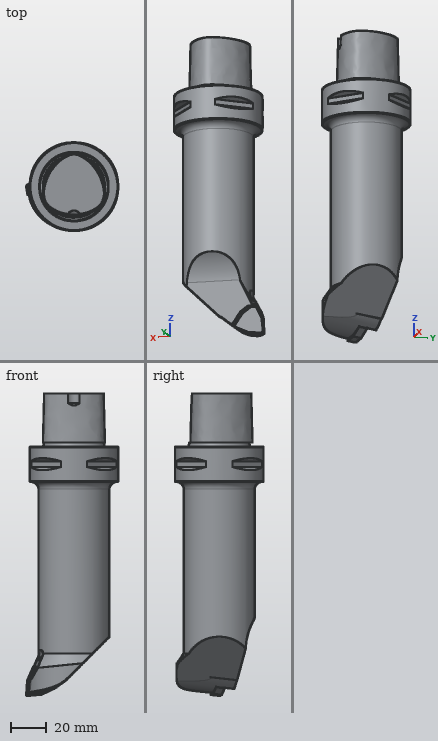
import cadquery as cq
import math

FLANGE_DIA = 50.0
FLANGE_BOTTOM = -19.9
FLANGE_CHAMFER = 0.5
SHANK_DIA = 40.0
SHANK_FILLET = 4.0

COUPLING_TOP = 30.0
COUPLING_BASE = 2.2
COUPLING_TOP_RADIUS = 16.8
COUPLING_BASE_RADIUS = 17.5
LOBE_HEIGHT = 1.22
NECK_TOP_DIA = 33.7
NECK_BOTTOM_DIA = 35.0
RELIEF_DIA = 39.1
RELIEF_DEPTH = 0.5
KEY_HOLE_DIA = 7.1
KEY_HOLE_Y = -17.0
KEY_HOLE_BOTTOM = 24.5
KEY_HOLE_CONE_HEIGHT = 2.2

SLOT_COUNT = 4
FIRST_SLOT_AZIMUTH = 45
SLOT_Z = -9.9
SLOT_DEPTH = 2.9
SLOT_FLOOR_HEIGHT = 3.0
SLOT_MOUTH_HEIGHT = 6.8

TIP_X = -26.9
TOTAL_HEIGHT = 170.0
TIP_Z = COUPLING_TOP - TOTAL_HEIGHT
HEAD_TOP = -116.1
HEAD_CONE_ANGLE = 34
HEAD_RADIUS = 24.1
HEAD_OFFSET_X = -1.7
SEAT_FACE_INSET = 0.8
SEAT_BLOCK_TOP = -108.8
SEAT_BLOCK_HEIGHT = 17.0
SEAT_BLOCK_WIDTH = 13.6
BACK_CUT_Z = -106.8

BOTTOM_START = (0.0, -1.4)
BOTTOM_MIDDLE = (13.6, -3.2)
BOTTOM_END = (23.0, -9.5)

RAKE_SLOPE_X = 0.16
RAKE_SLOPE_Z = 0.11
FLUTE_LIFT = 5.5
FLUTE_BEND_Z = -110.3
FLUTE_RADIUS = 27.2

INSERT_CIRCLE_DIA = 12.8
INSERT_CORNER_ANGLE = 80
INSERT_THICKNESS = 5.0
TIP_DIRECTION = 135
INSERT_NOSE_RADIUS = 0.8
INSERT_OVERHANG = 1.7

SCALLOP_DIA = 6.1
SCALLOP_CENTRE = (4.8, -22.6)
SCALLOP_END_LIFT = -3.4

FLANGE_RADIUS = FLANGE_DIA / 2
SHANK_RADIUS = SHANK_DIA / 2
DIAGONAL = math.sqrt(0.5)
CLEAR = 68.0


def lobed_point(radius, angle):
    """Point of a constant-width three-lobed curve with one lobe on +Y."""
    turn = angle + math.pi / 2
    support = radius + LOBE_HEIGHT * math.cos(3 * angle)
    slope = -3 * LOBE_HEIGHT * math.sin(3 * angle)
    return (
        support * math.cos(turn) - slope * math.sin(turn),
        support * math.sin(turn) + slope * math.cos(turn),
    )


def coupling():
    """Tapered lobed coupling with a drilled key hole in its -Y side."""
    point_count = 36
    angles = [2 * math.pi * i / point_count for i in range(point_count)]
    base = [lobed_point(COUPLING_BASE_RADIUS, a) for a in angles]
    top = [lobed_point(COUPLING_TOP_RADIUS, a) for a in angles]
    taper = (
        cq.Workplane("XY", origin=(0, 0, COUPLING_BASE))
        .spline(base, periodic=True)
        .close()
        .workplane(offset=COUPLING_TOP - COUPLING_BASE)
        .spline(top, periodic=True)
        .close()
        .loft(ruled=True)
    )
    hole_radius = KEY_HOLE_DIA / 2
    key_hole = (
        cq.Workplane("XZ", origin=(0, KEY_HOLE_Y, 0))
        .moveTo(0, COUPLING_TOP)
        .lineTo(hole_radius, COUPLING_TOP)
        .lineTo(hole_radius, KEY_HOLE_BOTTOM)
        .lineTo(0, KEY_HOLE_BOTTOM - KEY_HOLE_CONE_HEIGHT)
        .close()
        .revolve(360, (0, 0, 0), (0, 1, 0))
    )
    return taper.cut(key_hole)


def flange_and_shank():
    """Neck, flange and shank turned about Z, with the relief ring in the flange face."""
    relief_radius = RELIEF_DIA / 2
    fillet_radius = SHANK_RADIUS + SHANK_FILLET
    mid = SHANK_FILLET * (1 - DIAGONAL)
    return (
        cq.Workplane("XZ")
        .moveTo(0, COUPLING_BASE)
        .lineTo(NECK_TOP_DIA / 2, COUPLING_BASE)
        .lineTo(NECK_BOTTOM_DIA / 2, -RELIEF_DEPTH)
        .lineTo(relief_radius - RELIEF_DEPTH, -RELIEF_DEPTH)
        .lineTo(relief_radius, 0)
        .lineTo(FLANGE_RADIUS - FLANGE_CHAMFER, 0)
        .lineTo(FLANGE_RADIUS, -FLANGE_CHAMFER)
        .lineTo(FLANGE_RADIUS, FLANGE_BOTTOM + FLANGE_CHAMFER)
        .lineTo(FLANGE_RADIUS - FLANGE_CHAMFER, FLANGE_BOTTOM)
        .lineTo(fillet_radius, FLANGE_BOTTOM)
        .threePointArc(
            (SHANK_RADIUS + mid, FLANGE_BOTTOM - mid),
            (SHANK_RADIUS, FLANGE_BOTTOM - SHANK_FILLET),
        )
        .lineTo(SHANK_RADIUS, TIP_Z)
        .lineTo(0, TIP_Z)
        .close()
        .revolve(360, (0, 0, 0), (0, 1, 0))
    )


def gripper_slot(azimuth):
    """Trapezoidal slot whose floor is a chord of the flange."""
    flare = (SLOT_MOUTH_HEIGHT - SLOT_FLOOR_HEIGHT) / 2
    return (
        cq.Workplane("XZ", origin=(0, CLEAR, 0))
        .moveTo(FLANGE_RADIUS - SLOT_DEPTH, SLOT_Z - SLOT_FLOOR_HEIGHT / 2)
        .lineTo(FLANGE_RADIUS, SLOT_Z - SLOT_FLOOR_HEIGHT / 2 - flare)
        .lineTo(FLANGE_RADIUS, SLOT_Z + SLOT_FLOOR_HEIGHT / 2 + flare)
        .lineTo(FLANGE_RADIUS - SLOT_DEPTH, SLOT_Z + SLOT_FLOOR_HEIGHT / 2)
        .close()
        .extrude(2 * CLEAR)
        .rotate((0, 0, 0), (0, 0, 1), azimuth)
    )


RAKE_NORMAL = cq.Vector(-RAKE_SLOPE_X, 1, -RAKE_SLOPE_Z).normalized()
RAKE_X = cq.Vector(1, RAKE_SLOPE_X, 0).normalized()


def rake_plane(lift):
    """Plane parallel to the insert top; local Y points down the head."""
    origin = cq.Vector(TIP_X, 0, TIP_Z) + RAKE_NORMAL * lift
    return cq.Plane(origin=origin.toTuple(), xDir=RAKE_X.toTuple(), normal=RAKE_NORMAL.toTuple())


def trigon_corners():
    """Corners in the rake plane, sharp and blunt in turn, starting at the cutting tip."""
    inner_radius = INSERT_CIRCLE_DIA / 2
    half_corner = math.radians(INSERT_CORNER_ANGLE / 2)
    sharp = inner_radius / math.sin(half_corner)
    blunt = inner_radius / math.sin(2 * half_corner)
    nose_reach = (sharp - INSERT_NOSE_RADIUS / math.sin(half_corner)) * DIAGONAL
    centre = nose_reach + INSERT_NOSE_RADIUS
    corners = []
    for i in range(6):
        angle = math.radians(TIP_DIRECTION + 60 * i)
        radius = sharp if i % 2 == 0 else blunt
        corners.append((centre + radius * math.cos(angle), -centre + radius * math.sin(angle)))
    return corners


def head_blank():
    """Cone about the shank axis with a block behind the seat face, limited by the head cylinder."""
    widest = HEAD_RADIUS - HEAD_OFFSET_X
    cone_height = (widest - SHANK_RADIUS) / math.tan(math.radians(HEAD_CONE_ANGLE))
    cone = (
        cq.Workplane("XZ")
        .moveTo(0, HEAD_TOP)
        .lineTo(SHANK_RADIUS, HEAD_TOP)
        .lineTo(widest, HEAD_TOP - cone_height)
        .lineTo(widest, TIP_Z)
        .lineTo(0, TIP_Z)
        .close()
        .revolve(360, (0, 0, 0), (0, 1, 0))
    )
    block = cq.Workplane("XY", origin=(-FLANGE_DIA, 0, SEAT_BLOCK_TOP - SEAT_BLOCK_HEIGHT)).box(
        FLANGE_DIA, SEAT_BLOCK_WIDTH, SEAT_BLOCK_HEIGHT, centered=False
    )
    limit = (
        cq.Workplane("XY", origin=(HEAD_OFFSET_X, 0, TIP_Z))
        .circle(HEAD_RADIUS)
        .extrude(SEAT_BLOCK_TOP - TIP_Z)
    )
    return cone.union(block).intersect(limit)


def seat_face_cut():
    """Removes head material outside the two insert flanks on the -X side, extended upward."""
    tip, bend, upper = [(x + SEAT_FACE_INSET, y) for x, y in trigon_corners()[:3]]
    reach = CLEAR / math.dist(bend, upper)
    upper_end = tuple(b + reach * (u - b) for b, u in zip(bend, upper))
    return (
        cq.Workplane(rake_plane(0))
        .moveTo(*upper_end)
        .lineTo(*bend)
        .lineTo(*tip)
        .lineTo(-CLEAR, tip[1])
        .lineTo(-CLEAR, upper_end[1])
        .close()
        .extrude(CLEAR, both=True)
    )


def back_cut():
    """45 degree cut on the +X side of the head."""
    return (
        cq.Workplane("XZ", origin=(0, CLEAR, 0))
        .moveTo(SHANK_RADIUS + CLEAR, BACK_CUT_Z + CLEAR)
        .lineTo(SHANK_RADIUS - CLEAR, BACK_CUT_Z - CLEAR)
        .lineTo(SHANK_RADIUS + CLEAR, BACK_CUT_Z - CLEAR)
        .close()
        .extrude(2 * CLEAR)
    )


def bottom_cut():
    """Rounded underside, running square to the rake plane."""
    return (
        cq.Workplane(rake_plane(0))
        .moveTo(*BOTTOM_START)
        .threePointArc(BOTTOM_MIDDLE, BOTTOM_END)
        .lineTo(CLEAR, BOTTOM_END[1])
        .lineTo(CLEAR, CLEAR)
        .lineTo(-CLEAR, CLEAR)
        .lineTo(-CLEAR, BOTTOM_START[1])
        .close()
        .extrude(CLEAR, both=True)
    )


def flute_cut():
    """Flat chip flute that runs out of the shank along a tangent arc."""
    plane = rake_plane(FLUTE_LIFT)
    length = FLUTE_BEND_Z - TIP_Z
    return (
        cq.Workplane(cq.Plane(origin=plane.origin, xDir=plane.zDir, normal=plane.xDir))
        .moveTo(0, -CLEAR)
        .lineTo(0, length)
        .threePointArc(
            (FLUTE_RADIUS * (1 - DIAGONAL), length + FLUTE_RADIUS * DIAGONAL),
            (FLUTE_RADIUS, length + FLUTE_RADIUS),
        )
        .lineTo(CLEAR, -CLEAR)
        .close()
        .extrude(CLEAR, both=True)
    )


def trigon(lift, depth):
    """Prism of the trigon outline, going down from the lifted rake plane."""
    return cq.Workplane(rake_plane(lift)).polyline(trigon_corners()).close().extrude(-depth)


def insert_pocket():
    """Seat of the insert, the size of the insert before its nose is rounded."""
    return trigon(0, INSERT_THICKNESS)


def chip_space():
    """Opens the insert to the flute, except under the overhang at its upper corner."""
    upper_corner = trigon_corners()[2]
    overhang = (
        cq.Workplane(rake_plane(0))
        .center(0, upper_corner[1] + INSERT_OVERHANG - CLEAR / 2)
        .rect(2 * CLEAR, CLEAR)
        .extrude(CLEAR)
    )
    return trigon(2 * FLUTE_LIFT, 2 * FLUTE_LIFT).cut(overhang)


def insert():
    """Trigon plate with a rounded cutting nose."""
    body = trigon(0, INSERT_THICKNESS)
    along_nose = cq.selectors.ParallelDirSelector(RAKE_NORMAL)
    nose = body.edges(along_nose).sort(lambda e: e.Center().x + e.Center().z)[0]
    return nose.fillet(INSERT_NOSE_RADIUS)


def scallop():
    """Ball-ended groove square to the rake plane, where the seat face meets the shank."""
    radius = SCALLOP_DIA / 2
    end = cq.Workplane(rake_plane(SCALLOP_END_LIFT)).center(*SCALLOP_CENTRE)
    return end.circle(radius).extrude(-CLEAR).union(end.sphere(radius))


def holder():
    body = flange_and_shank().union(coupling())
    for i in range(SLOT_COUNT):
        body = body.cut(gripper_slot(FIRST_SLOT_AZIMUTH + 360 / SLOT_COUNT * i))
    head = head_blank().cut(seat_face_cut())
    body = body.union(head)
    for cut in (back_cut(), bottom_cut(), flute_cut(), scallop()):
        body = body.cut(cut)
    return body.cut(insert_pocket()).cut(chip_space())


result = cq.Compound.makeCompound([holder().val(), insert().val()])